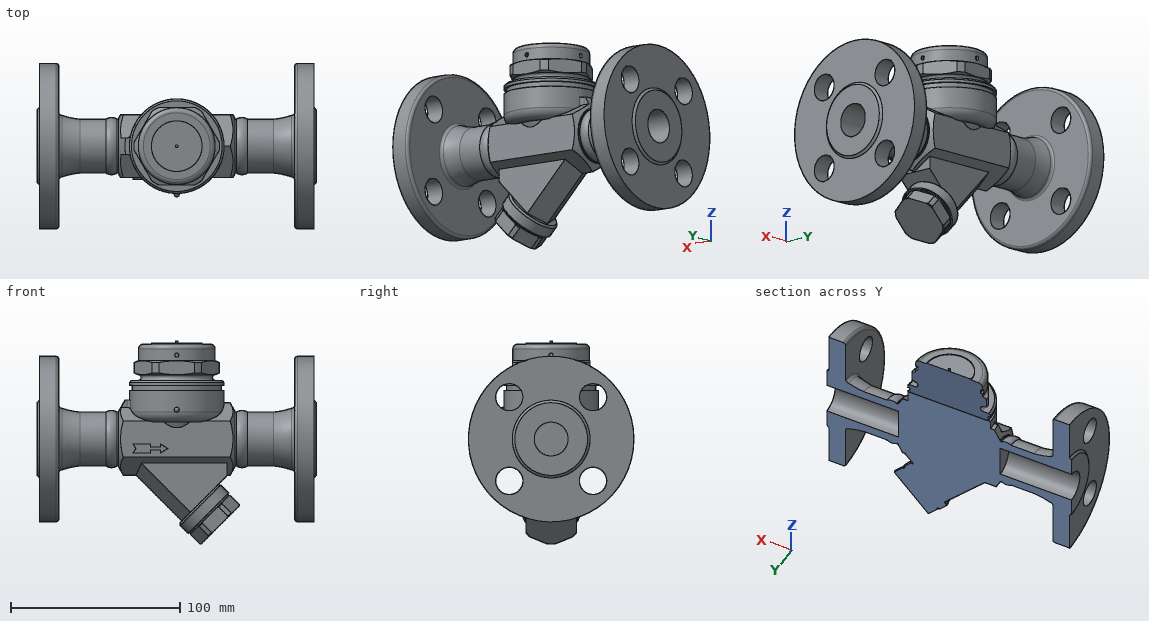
import cadquery as cq
import math

face_to_face = 165.0
flange_dia = 98.0
flange_back = 69.7
flange_edge_round = 1.8
raised_face_height = 1.3
raised_face_dia = 46.0
raised_face_bevel = 1.5
bolt_circle_dia = 70.0
bolt_hole_dia = 16.0
bolt_count = 4
bore_dia = 20.0
pipe_dia = 32.0
hub_dia = 39.5
hub_root_dia = 36.5
hub_root_round = 2.0
hub_root_length = 1.9
hub_middle_dia = 33.6
hub_small_end = 57.3
bead_dia = 34.0
bead_outer_end = 41.8
bead_inner_end = 35.3

block_flats = 37.2
block_half_length = 34.4
chamfer_start = 30.6
chamfer_top_radius = 23.2
chamfer_angle = 60.0
pad_corner_round = 2.2
pad_width = 9.8

rim_z = 28.8
bowl_dia = 56.0
bowl_corner_z = 16.0
bowl_corner_round = 6.0
bowl_neck_radius = 20.1
bowl_cone_slope = 2.2
bowl_cone_depth = 6.0
pin_dia = 3.0
pin_z = 17.3
pin_reach = 30.0

branch_axis_offset = 17.7
branch_angle = 45.0
branch_start = -6.0
branch_flats = 25.0
branch_end = 36.4
branch_side_x = 29.8
collar_dia = 34.0
collar_end = 44.3
collar_chamfer = 1.2
washer_dia = 32.0
plug_start = 45.4
plug_end = 54.11
plug_flats = 30.0
plug_corner_dia = 33.0
plug_chamfer = 0.5

arrow_tail_x = -25.8
arrow_neck_x = -15.5
arrow_head_x = -9.5
arrow_tip_x = -5.3
arrow_z = -5.6
arrow_half_height = 2.6
arrow_stem_half_height = 0.9
arrow_notch = 1.6
arrow_height = 1.0

cover_spigot_dia = 53.0
cover_ring_z = 31.8
cover_ring_top_z = 34.7
cover_ring_dia = 56.0
cover_ring_chamfer = 1.2
cover_neck_dia = 42.4
cover_neck_end_dia = 45.0
nut_bottom_z = 38.0
nut_top_z = 46.3
nut_flats = 46.0
nut_corner_dia = 50.5
nut_chamfer = 1.0
cap_dia = 45.5
cap_top_z = 56.15
cap_round = 3.0
disc_dia = 30.0
disc_top_z = 56.7
tip_dia = 1.6
tip_top_z = 57.9
vent_dia = 2.4
vent_z = 49.6
vent_depth = 1.5
vent_count = 4


def hex_prism(flats, length):
    """Hexagonal prism along +Z with two flats facing +Y and -Y."""
    corner_dia = flats / math.cos(math.radians(30))
    return cq.Workplane("XY").polygon(6, corner_dia).extrude(length)


def rounded_hex(flats, corner_dia, end_dia, length, chamfer):
    """Hexagonal prism whose corners are turned to a cylinder with conical ends."""
    turned = (
        cq.Workplane("XZ")
        .polyline([
            (0, 0),
            (end_dia / 2, 0),
            (corner_dia / 2, chamfer),
            (corner_dia / 2, length - chamfer),
            (end_dia / 2, length),
            (0, length),
        ])
        .close()
        .revolve(360, (0, 0), (0, 1))
    )
    return hex_prism(flats, length).intersect(turned)


def pipe_end():
    """Flange, hub, pipe and bead on the -X side, with a blind bore."""
    end_x = -face_to_face / 2
    flange_face_x = end_x + raised_face_height
    back_x = -flange_back
    flange_r = flange_dia / 2
    raised_r = raised_face_dia / 2
    pipe_r = pipe_dia / 2
    hub_root_r = hub_root_dia / 2
    hub_root_x = back_x + hub_root_length
    hub_middle = ((hub_root_x - hub_small_end) / 2, hub_middle_dia / 2)
    bead_middle = (-(bead_outer_end + bead_inner_end) / 2, bead_dia / 2)
    turned = (
        cq.Workplane("XY")
        .moveTo(end_x, 0)
        .lineTo(end_x, raised_r - raised_face_bevel)
        .lineTo(flange_face_x, raised_r)
        .lineTo(flange_face_x, flange_r)
        .lineTo(back_x - flange_edge_round, flange_r)
        .radiusArc((back_x, flange_r - flange_edge_round), flange_edge_round)
        .lineTo(back_x, hub_dia / 2)
        .radiusArc((hub_root_x, hub_root_r), -hub_root_round)
        .threePointArc(hub_middle, (-hub_small_end, pipe_r))
        .lineTo(-bead_outer_end, pipe_r)
        .threePointArc(bead_middle, (-bead_inner_end, pipe_r))
        .lineTo(-block_half_length, pipe_r)
        .lineTo(-block_half_length, 0)
        .close()
        .revolve(360, (0, 0), (1, 0))
    )
    bolt_holes = (
        cq.Workplane("YZ", origin=(flange_face_x, 0, 0))
        .polarArray(bolt_circle_dia / 2, 180 / bolt_count, 360, bolt_count)
        .circle(bolt_hole_dia / 2)
        .extrude(-flange_back - flange_face_x)
    )
    bore_depth = -block_half_length - end_x
    bore = cq.Workplane("YZ", origin=(end_x, 0, 0)).circle(bore_dia / 2).extrude(bore_depth)
    return turned.cut(bolt_holes).cut(bore)


def centre_block():
    """Hexagonal block with a pad on its ridge, both cut back by a cone at each end."""
    block = (
        hex_prism(block_flats, 2 * block_half_length)
        .rotate((0, 0, 0), (0, 1, 0), 90)
        .translate((-block_half_length, 0, 0))
    )
    pad = cq.Workplane("XY").box(
        block_half_length, pad_width, chamfer_top_radius, centered=(False, True, False)
    ).translate((-block_half_length, 0, 0))
    slope = math.tan(math.radians(chamfer_angle))
    end_r = chamfer_top_radius - (block_half_length - chamfer_start) * slope
    envelope = (
        cq.Workplane("XY")
        .polyline([
            (-block_half_length, 0),
            (-block_half_length, end_r),
            (0, end_r + block_half_length * slope),
            (block_half_length, end_r),
            (block_half_length, 0),
        ])
        .close()
        .revolve(360, (0, 0), (1, 0))
    )
    return block.union(pad).intersect(envelope)


def bowl():
    """Round-bottomed bowl on a cone that runs down into the block."""
    r = bowl_dia / 2
    floor_z = bowl_corner_z - bowl_corner_round
    turned = (
        cq.Workplane("XZ")
        .moveTo(0, rim_z)
        .lineTo(r, rim_z)
        .lineTo(r, bowl_corner_z)
        .radiusArc((r - bowl_corner_round, floor_z), bowl_corner_round)
        .lineTo(bowl_neck_radius, floor_z)
        .lineTo(bowl_neck_radius - bowl_cone_depth / bowl_cone_slope, floor_z - bowl_cone_depth)
        .lineTo(0, floor_z - bowl_cone_depth)
        .close()
        .revolve(360, (0, 0), (0, 1))
    )
    ball_y = pin_dia / 2 - pin_reach
    pin = cq.Workplane("XZ", origin=(0, 0, pin_z)).circle(pin_dia / 2).extrude(-ball_y)
    ball = cq.Workplane("XY").sphere(pin_dia / 2).translate((0, ball_y, pin_z))
    return turned.union(pin).union(ball)


def along_branch(shape):
    """Move a shape built along +Z so that it lies along the branch axis."""
    tilt = math.radians(branch_angle)
    foot = (-branch_axis_offset * math.sin(tilt), 0, -branch_axis_offset * math.cos(tilt))
    return shape.rotate((0, 0, 0), (0, 1, 0), 90 + branch_angle).translate(foot)


def branch():
    """Hexagonal strainer branch with a web up to the block, ending in a collar and hexagon plug."""
    barrel = along_branch(hex_prism(branch_flats, branch_end - branch_start).translate((0, 0, branch_start)))
    axis_sum = -branch_axis_offset * math.sqrt(2)
    end_difference = branch_end * math.sqrt(2)
    web = (
        cq.Workplane("XZ", origin=(0, branch_flats / 2, 0))
        .polyline([
            (axis_sum, 0),
            ((axis_sum + end_difference) / 2, (axis_sum - end_difference) / 2),
            (branch_side_x, branch_side_x - end_difference),
            (branch_side_x, 0),
        ])
        .close()
        .extrude(branch_flats)
    )
    collar_length = collar_end - branch_end
    collar = (
        cq.Workplane("XY", origin=(0, 0, branch_end))
        .circle(collar_dia / 2)
        .extrude(collar_length)
        .faces("<Z")
        .chamfer(collar_chamfer)
    )
    washer_length = plug_start - collar_end
    washer = cq.Workplane("XY", origin=(0, 0, collar_end)).circle(washer_dia / 2).extrude(washer_length)
    plug = rounded_hex(
        plug_flats, plug_corner_dia, washer_dia, plug_end - plug_start, plug_chamfer
    ).translate((0, 0, plug_start))
    return barrel.union(web).union(along_branch(collar.union(washer).union(plug)))


def flow_arrow():
    """Raised arrow pointing toward the outlet."""
    upper = [
        (arrow_tail_x, arrow_half_height),
        (arrow_neck_x, arrow_half_height),
        (arrow_neck_x, arrow_stem_half_height),
        (arrow_head_x, arrow_stem_half_height),
        (arrow_head_x, arrow_half_height),
    ]
    lower = [(x, -z) for x, z in reversed(upper)]
    outline = upper + [(arrow_tip_x, 0)] + lower + [(arrow_tail_x + arrow_notch, 0)]
    return (
        cq.Workplane("XZ", origin=(0, -block_flats / 2, arrow_z))
        .polyline(outline)
        .close()
        .extrude(arrow_height)
    )


def valve_body():
    """Flanged body with its block, bowl, strainer branch and flow arrow as one solid."""
    inlet = pipe_end()
    outlet = inlet.mirror("YZ")
    core = centre_block().union(bowl())
    margin = pad_corner_round
    bowl_r = bowl_dia / 2
    pad_corners = cq.selectors.BoxSelector(
        (-bowl_r - margin, -pad_width / 2 - margin, bowl_corner_z),
        (-bowl_r + margin, pad_width / 2 + margin, rim_z),
    )
    core = core.edges("|Z").edges(pad_corners).fillet(pad_corner_round)
    for part in [branch(), flow_arrow(), inlet, outlet]:
        core = core.union(part)
    return core


def valve_cover():
    """Cover standing on the bowl's rim: spigot, ring, neck, hexagon and vented cap."""
    ring_r = cover_ring_dia / 2
    neck_end_r = cover_neck_end_dia / 2
    neck_middle = (cover_neck_dia / 2, (cover_ring_top_z + nut_bottom_z) / 2)
    base = (
        cq.Workplane("XZ")
        .moveTo(0, rim_z)
        .lineTo(cover_spigot_dia / 2, rim_z)
        .lineTo(cover_spigot_dia / 2, cover_ring_z)
        .lineTo(ring_r, cover_ring_z)
        .lineTo(ring_r, cover_ring_top_z - cover_ring_chamfer)
        .lineTo(ring_r - cover_ring_chamfer, cover_ring_top_z)
        .lineTo(neck_end_r, cover_ring_top_z)
        .threePointArc(neck_middle, (neck_end_r, nut_bottom_z))
        .lineTo(0, nut_bottom_z)
        .close()
        .revolve(360, (0, 0), (0, 1))
    )
    nut = rounded_hex(
        nut_flats, nut_corner_dia, cap_dia, nut_top_z - nut_bottom_z, nut_chamfer
    ).translate((0, 0, nut_bottom_z))
    cap = (
        cq.Workplane("XY", origin=(0, 0, nut_top_z))
        .circle(cap_dia / 2)
        .extrude(cap_top_z - nut_top_z)
        .faces(">Z")
        .edges()
        .fillet(cap_round)
    )
    disc = cq.Workplane("XY", origin=(0, 0, cap_top_z)).circle(disc_dia / 2).extrude(disc_top_z - cap_top_z)
    tip = cq.Workplane("XY", origin=(0, 0, disc_top_z)).circle(tip_dia / 2).extrude(tip_top_z - disc_top_z)
    cover = base.union(nut).union(cap).union(disc).union(tip)
    vent_floor = (0, vent_depth - cap_dia / 2, vent_z)
    vent = cq.Workplane("XZ", origin=vent_floor).circle(vent_dia / 2).extrude(2 * vent_depth)
    for index in range(vent_count):
        cover = cover.cut(vent.rotate((0, 0, 0), (0, 0, 1), index * 360 / vent_count))
    return cover


body = valve_body()
cover = valve_cover()
result = cq.Compound.makeCompound([body.val(), cover.val()])